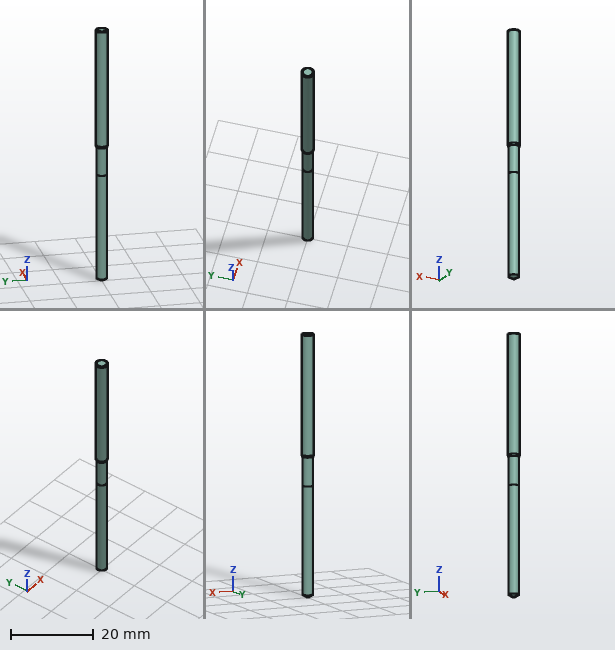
import cadquery as cq
import math

total_length = 65.0
shank_diameter = 3.0
drill_diameter = 2.65
point_angle = 118.0

shank_length = 30.3
cutting_length = 27.6
end_chamfer = 0.25
shoulder_height = 0.5

shank_radius = shank_diameter / 2
drill_radius = drill_diameter / 2
point_height = drill_radius / math.tan(math.radians(point_angle / 2))
neck_top = total_length - shank_length


def make_shank():
    """Chamfered shank with a tapered shoulder and the neck below it."""
    profile = (
        cq.Workplane("XZ")
        .moveTo(0, cutting_length)
        .lineTo(drill_radius, cutting_length)
        .lineTo(drill_radius, neck_top)
        .lineTo(shank_radius, neck_top + shoulder_height)
        .lineTo(shank_radius, total_length - end_chamfer)
        .lineTo(shank_radius - end_chamfer, total_length)
        .lineTo(0, total_length)
        .close()
    )
    return profile.revolve(360, (0, 0, 0), (0, 1, 0))


def make_cutting_part():
    """Plain cylinder below the neck, ending in a conical point."""
    profile = (
        cq.Workplane("XZ")
        .moveTo(0, 0)
        .lineTo(drill_radius, point_height)
        .lineTo(drill_radius, cutting_length)
        .lineTo(0, cutting_length)
        .close()
    )
    return profile.revolve(360, (0, 0, 0), (0, 1, 0))


shank = make_shank()
cutting_part = make_cutting_part()

result = cq.Compound.makeCompound([shank.val(), cutting_part.val()])